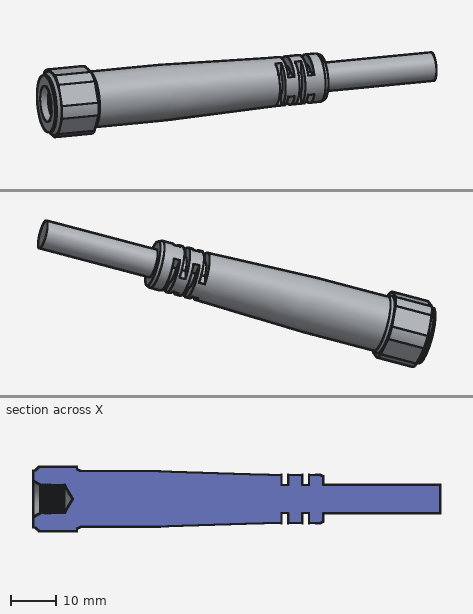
import cadquery as cq
import math

overall_length = 89.8

cable_radius = 6.4 / 2
body_radius = 12.4 / 2
collar_radius = 10.8 / 2
taper_start = 27.2
body_end = 52.65
collar_end = 64.1
collar_bevel_length = 0.8
collar_bevel_height = 0.4

slot_pitch = 4.6
slot_pairs = 2
slot_floor = 2.25
side_slot_start = body_end
side_slot_width = 1.35
top_slot_start = 54.8
top_slot_width = 1.4

nut_across_flats = 14.3
nut_corner_diameter = 15.1
nut_start = 1.3
nut_end = 9.7
lip_radius = 12.7 / 2
lip_length = 0.45
front_shoulder_radius = 7.1
rear_shoulder_radius = 6.6
rear_shoulder_end = 10.5

mouth_radius = 4.0
mouth_depth = 1.5
thread_major_radius = 3.1
thread_minor_radius = 2.5
thread_pitch = 0.5
thread_turns = 10
drill_point_angle = 118.0


def revolve_outline(points):
    """Turn an outline of (radius, axial position) points around the Y axis."""
    return cq.Workplane("XY").polyline(points).close().revolve(360, (0, 0, 0), (0, 1, 0))


def cylinder(radius, start, end):
    return revolve_outline([(0, start), (radius, start), (radius, end), (0, end)])


def make_body():
    return revolve_outline([
        (0, nut_start),
        (body_radius, nut_start),
        (body_radius, taper_start),
        (collar_radius, body_end),
        (collar_radius, collar_end - collar_bevel_length),
        (collar_radius - collar_bevel_height, collar_end),
        (0, collar_end),
    ])


def make_slot_pair(start, width, turn):
    """Two opposite slots, each with a flat floor, turned about the cable axis."""
    depth = collar_radius - slot_floor
    slots = cq.Workplane("XY")
    for side in (-1, 1):
        slots = slots.union(
            cq.Workplane("XY")
            .box(2 * collar_radius, width, depth)
            .translate((0, start + width / 2, side * (slot_floor + depth / 2)))
        )
    return slots.rotate((0, 0, 0), (0, 1, 0), turn)


def make_nut():
    hex_corner_diameter = nut_across_flats / math.cos(math.pi / 6)
    hexagon = (
        cq.Workplane("XZ", origin=(0, nut_end, 0))
        .polygon(6, hex_corner_diameter)
        .extrude(nut_end - nut_start)
    )
    hexagon = hexagon.intersect(cylinder(nut_corner_diameter / 2, nut_start, nut_end))
    shoulders = revolve_outline([
        (0, 0),
        (lip_radius, 0),
        (lip_radius, lip_length),
        (front_shoulder_radius, nut_start),
        (rear_shoulder_radius, nut_end),
        (body_radius, rear_shoulder_end),
        (0, rear_shoulder_end),
    ])
    return hexagon.union(shoulders)


def make_socket():
    """Tapered mouth, ring-shaped thread grooves and a conical drill point."""
    outline = [(0, 0), (mouth_radius, 0), (thread_major_radius, mouth_depth)]
    for turn in range(thread_turns):
        groove_start = mouth_depth + turn * thread_pitch
        outline.append((thread_minor_radius, groove_start + thread_pitch / 2))
        outline.append((thread_major_radius, groove_start + thread_pitch))
    thread_end = mouth_depth + (thread_turns + 0.5) * thread_pitch
    point_depth = thread_minor_radius / math.tan(math.radians(drill_point_angle / 2))
    outline.append((thread_minor_radius, thread_end))
    outline.append((0, thread_end + point_depth))
    return revolve_outline(outline)


result = make_body()
for pair in range(slot_pairs):
    offset = pair * slot_pitch
    result = result.cut(make_slot_pair(side_slot_start + offset, side_slot_width, 90))
    result = result.cut(make_slot_pair(top_slot_start + offset, top_slot_width, 0))

result = result.union(cylinder(cable_radius, taper_start, overall_length))
result = result.union(make_nut()).cut(make_socket())